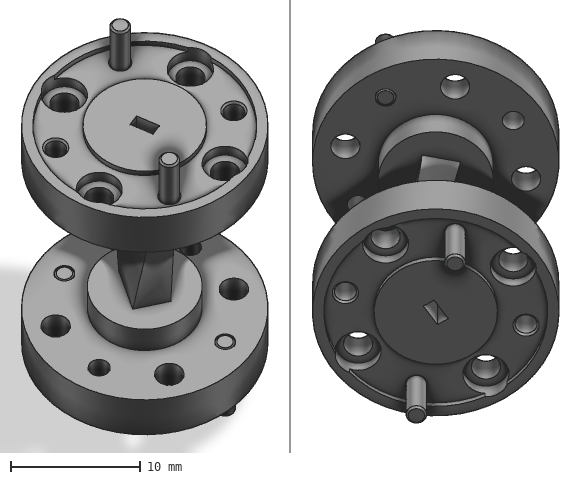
import cadquery as cq

TOTAL_LENGTH = 33.15
FLANGE_DIAMETER = 19.05
TWIST = -45.0

FACE_Z = 12.7
FLANGE_THICKNESS = 4.08
BOSS_HEIGHT = 2.5
BACK_Z = FACE_Z - FLANGE_THICKNESS
TUBE_END_Z = BACK_Z - BOSS_HEIGHT

BORE_WIDTH = 2.02
BORE_HEIGHT = 1.0
WALL = 1.03
TUBE_WIDTH = BORE_WIDTH + 2 * WALL
TUBE_HEIGHT = BORE_HEIGHT + 2 * WALL

BOSS_DIAMETER = 8.9
CENTRE_DISC_DIAMETER = 9.55
RECESS_DIAMETER = 17.3
RECESS_DEPTH = 0.5
RECESS_FLOOR_Z = FACE_Z - RECESS_DEPTH

HOLE_CIRCLE_RADIUS = 14.3 / 2
SCREW_HOLE_DIAMETER = 2.25
COUNTERBORE_DIAMETER = 3.55
COUNTERBORE_DEPTH = 1.52
CLEARANCE_HOLE_DIAMETER = 1.7
CLEARANCE_HOLE_CHAMFER = 0.15
PIN_HOLE_CHAMFER = 0.1
SCREW_ANGLES = (0, 90, 180, 270)
CLEARANCE_ANGLES = (45, 225)
PIN_ANGLES = (135, 315)

PIN_DIAMETER = 1.6
PIN_CHAMFER = 0.15
PIN_LENGTH = TOTAL_LENGTH / 2 - BACK_Z


def disc(diameter, bottom_z, top_z):
    """Cylinder on the Z axis between two heights."""
    return cq.Workplane("XY", origin=(0, 0, bottom_z)).circle(diameter / 2).extrude(top_z - bottom_z)


def on_hole_circle(shape, angle):
    """Move a shape from the Z axis to the hole circle at an angle from +X."""
    return shape.translate((HOLE_CIRCLE_RADIUS, 0, 0)).rotate((0, 0, 0), (0, 0, 1), angle)


def at_lower_end(shape):
    """Turn a shape of the upper end over and twist it, so that it fits the lower end."""
    return shape.rotate((0, 0, 0), (1, 0, 0), 180).rotate((0, 0, 0), (0, 0, 1), TWIST)


def chamfered_hole(diameter, chamfer):
    """Through-hole cutter, chamfered where it meets the recess floor."""
    hole = disc(diameter, BACK_Z, RECESS_FLOOR_Z)
    cone = cq.Solid.makeCone(
        diameter / 2,
        diameter / 2 + chamfer,
        chamfer,
        pnt=cq.Vector(0, 0, RECESS_FLOOR_Z - chamfer),
    )
    return hole.union(cq.Workplane(cone))


def screw_hole():
    """Counterbored through-hole cutter; the counterbore also bites into the rim."""
    hole = disc(SCREW_HOLE_DIAMETER, BACK_Z, FACE_Z)
    return hole.union(disc(COUNTERBORE_DIAMETER, FACE_Z - COUNTERBORE_DEPTH, FACE_Z))


def make_flange():
    """Upper flange with its boss, straight bore, ring recess and holes."""
    flange = disc(FLANGE_DIAMETER, BACK_Z, FACE_Z).union(disc(BOSS_DIAMETER, TUBE_END_Z, BACK_Z))
    recess = disc(RECESS_DIAMETER, RECESS_FLOOR_Z, FACE_Z)
    recess = recess.cut(disc(CENTRE_DISC_DIAMETER, RECESS_FLOOR_Z, FACE_Z))
    bore = cq.Workplane("XY", origin=(0, 0, TUBE_END_Z)).rect(BORE_WIDTH, BORE_HEIGHT)
    flange = flange.cut(recess).cut(bore.extrude(FACE_Z - TUBE_END_Z))
    for angle in SCREW_ANGLES:
        flange = flange.cut(on_hole_circle(screw_hole(), angle))
    clearance_hole = chamfered_hole(CLEARANCE_HOLE_DIAMETER, CLEARANCE_HOLE_CHAMFER)
    for angle in CLEARANCE_ANGLES:
        flange = flange.cut(on_hole_circle(clearance_hole, angle))
    pin_hole = chamfered_hole(PIN_DIAMETER, PIN_HOLE_CHAMFER)
    for angle in PIN_ANGLES:
        flange = flange.cut(on_hole_circle(pin_hole, angle))
    return flange


def twisted_bar(width, height):
    """Rectangular bar between the bosses, with straight edges from corner to twisted corner."""
    section = cq.Wire.makePolygon(
        [
            cq.Vector(x * width / 2, y * height / 2, 0)
            for x, y in ((-1, -1), (1, -1), (1, 1), (-1, 1))
        ],
        close=True,
    )
    upper = section.translate(cq.Vector(0, 0, TUBE_END_Z))
    lower = section.rotate(cq.Vector(0, 0, 0), cq.Vector(0, 0, 1), TWIST)
    lower = lower.translate(cq.Vector(0, 0, -TUBE_END_Z))
    return cq.Workplane(cq.Solid.makeLoft([lower, upper], True))


def make_waveguide():
    """Twisted waveguide tube joined to a flange at each end."""
    tube = twisted_bar(TUBE_WIDTH, TUBE_HEIGHT).cut(twisted_bar(BORE_WIDTH, BORE_HEIGHT))
    flange = make_flange()
    return tube.union(flange).union(at_lower_end(flange))


def make_pin():
    """Dowel pin on the Z axis, flush with the back of the upper flange."""
    pin = disc(PIN_DIAMETER, BACK_Z, BACK_Z + PIN_LENGTH)
    return pin.faces("<Z or >Z").chamfer(PIN_CHAMFER)


waveguide = make_waveguide()

pins = []
for pin_angle in PIN_ANGLES:
    upper_pin = on_hole_circle(make_pin(), pin_angle)
    pins.append(upper_pin.val())
    pins.append(at_lower_end(upper_pin).val())

result = cq.Compound.makeCompound([waveguide.solids().val(), *pins])